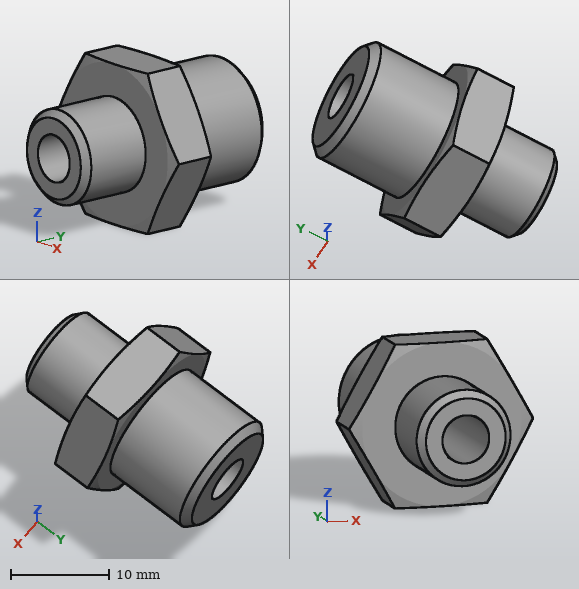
import cadquery as cq
import math

total_length = 23.0
small_length = 8.0
hex_thickness = 5.0
large_length = total_length - small_length - hex_thickness

small_diameter = 10.0
large_diameter = 13.15
bore_diameter = 5.0
across_flats = 17.0
across_corners = across_flats / math.cos(math.radians(30))

small_chamfer = 0.75
large_chamfer = 0.87
hex_chamfer_angle = 15.0

hex_start = small_length
hex_end = hex_start + hex_thickness


def section_at(y):
    """Workplane normal to +Y, centred on the part axis."""
    return cq.Workplane("XZ", origin=(0, y, 0)).transformed(rotate=(180, 0, 0))


def spigot(start, length, diameter):
    return section_at(start).circle(diameter / 2).extrude(length)


def chamfered_hexagon():
    """Hexagon with corners on X, its corners turned off by a cone at each end."""
    prism = section_at(hex_start).polygon(6, across_corners).extrude(hex_thickness)
    face_radius = across_flats / 2
    corner_radius = across_corners / 2
    corner_drop = (corner_radius - face_radius) * math.tan(math.radians(hex_chamfer_angle))
    turned_envelope = (
        cq.Workplane("XY")
        .moveTo(0, hex_start)
        .lineTo(face_radius, hex_start)
        .lineTo(corner_radius, hex_start + corner_drop)
        .lineTo(corner_radius, hex_end - corner_drop)
        .lineTo(face_radius, hex_end)
        .lineTo(0, hex_end)
        .close()
        .revolve(360, (0, 0, 0), (0, 1, 0))
    )
    return prism.intersect(turned_envelope)


small_spigot = spigot(0, small_length, small_diameter).faces("<Y").chamfer(small_chamfer)
large_spigot = spigot(hex_end, large_length, large_diameter).faces(">Y").chamfer(large_chamfer)
bore = spigot(0, total_length, bore_diameter)

result = chamfered_hexagon().union(small_spigot).union(large_spigot).cut(bore)